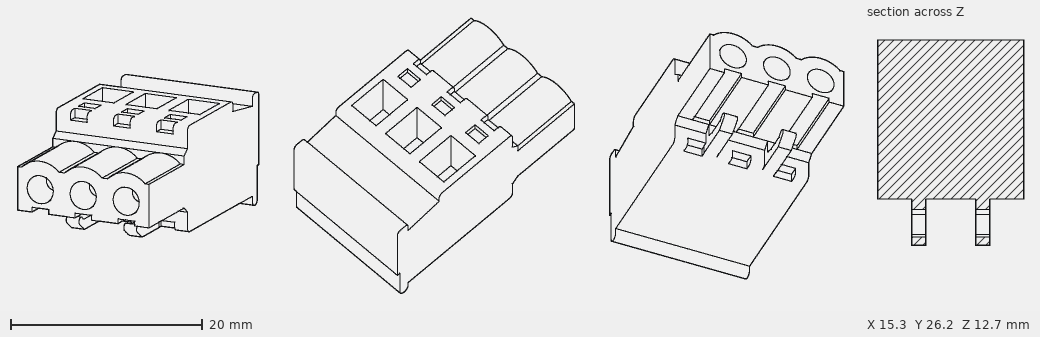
import cadquery as cq
import math

width = 15.3
length = 26.2
height = 12.7

pole_pitch = 5.0
pole_positions = [-pole_pitch, 0, pole_pitch]

body_front = 9.17
body_bottom = 1.13
edge_radius = 0.52
step_y = 20.02

shelf_high_z = 11.55
shelf_low_z = 10.93

plate_front = 24.6
plate_top = 12.18
plate_radius = 0.5
plate_bottom = 4.17
foot_back = 25.83
foot_radius = (foot_back - plate_front) / 2

tongue_root = 8.38
tongue_bottom = 4.03
tongue_valley = 8.78
shoulder_top = 10.3
shoulder_bottom = 3.38

hole_z = 6.6
barrel_radius = 3.1
hole_radius = 1.52
hole_end_radius = 1.0
hole_straight_depth = 1.65
hole_taper_depth = 1.83
tongue_top = hole_z + barrel_radius

recess_width = 1.95
top_notch_length = 1.05
top_notch_depth = 1.02
small_pocket_y = 11.8
small_pocket_length = 1.4
small_pocket_depth = 0.68
tongue_slot_depth = 0.52
bottom_notch_pitch = 5.1
bottom_notch_width = 2.07
bottom_notch_length = 1.05
bottom_notch_height = 0.97

funnel_y = 16.17
funnel_width = 3.62
funnel_length = 4.66
funnel_inset = 0.58
funnel_straight_depth = 1.3
funnel_taper_depth = 3.15

latch_width = 1.5
latch_offset = 3.35
latch_heel_z = 2.57
latch_arm_y = 7.57
latch_arm_top = 2.28
latch_bend_y = 5.63
tip_y = 4.75
tip_z = 2.28
tip_radius = 0.42


def extrude_side_profile(profile, thickness, x_center=0):
    """Extrude a closed Y-Z profile along X, centred on x_center."""
    return profile.extrude(thickness / 2, both=True).translate((x_center, 0, 0))


def block(x_center, x_size, y_range, z_range):
    """Make a box from its X centre and size and its Y and Z limits."""
    y_size = y_range[1] - y_range[0]
    z_size = z_range[1] - z_range[0]
    box = cq.Workplane("XY").box(x_size, y_size, z_size, centered=(True, False, False))
    return box.translate((x_center, y_range[0], z_range[0]))


def make_body():
    """Main housing with shoulders, shelf, back plate and rounded foot."""
    profile = (
        cq.Workplane("YZ")
        .moveTo(body_front, body_bottom)
        .lineTo(body_front, shoulder_bottom)
        .lineTo(tongue_root, tongue_bottom)
        .lineTo(tongue_root, tongue_top)
        .lineTo(body_front, shoulder_top)
        .lineTo(body_front, height)
        .lineTo(step_y, height)
        .lineTo(step_y, shelf_high_z)
        .lineTo(plate_front, shelf_low_z)
        .lineTo(plate_front, plate_top)
        .lineTo(length, plate_top)
        .lineTo(length, plate_bottom)
        .lineTo(foot_back, plate_bottom)
        .lineTo(foot_back, foot_radius)
        .threePointArc((foot_back - foot_radius, 0), (plate_front, foot_radius))
        .lineTo(plate_front, body_bottom)
        .close()
    )
    body = extrude_side_profile(profile, width)

    rounded_edges = [
        (body_front, body_bottom, edge_radius),
        (body_front, height, edge_radius),
        (step_y, height, edge_radius),
        (plate_front, plate_top, plate_radius),
        (length, plate_top, plate_radius),
    ]
    for y, z, radius in rounded_edges:
        body = body.edges(cq.NearestToPointSelector((0, y, z))).fillet(radius)
    return body


def make_tongue():
    """Plug tongue whose top is a row of barrels separated by flat valleys."""
    tongue = block(0, width, (0, body_front), (tongue_bottom, tongue_valley))
    for x in pole_positions:
        barrel = cq.Workplane("XZ").center(x, hole_z).circle(barrel_radius).extrude(-tongue_root)
        crown = block(x, pole_pitch, (0, tongue_root), (hole_z, tongue_top))
        tongue = tongue.union(barrel.intersect(crown))
    return tongue


def make_latch(x):
    """Hooked latch arm with an upturned, fully rounded tip."""
    under_angle = math.atan2(tip_z - body_bottom, latch_bend_y - tip_y)
    reach = math.hypot(latch_bend_y - tip_y, tip_z - body_bottom)
    hook_angle = under_angle - math.asin(tip_radius / reach)
    side_y = tip_radius * math.sin(hook_angle)
    side_z = tip_radius * math.cos(hook_angle)
    upper_y = tip_y + side_y
    upper_z = tip_z + side_z
    elbow_y = upper_y + (upper_z - latch_arm_top) / math.tan(hook_angle)
    profile = (
        cq.Workplane("YZ")
        .moveTo(body_front + edge_radius, body_bottom)
        .lineTo(latch_bend_y, body_bottom)
        .lineTo(tip_y - side_y, tip_z - side_z)
        .threePointArc((tip_y - side_z, tip_z + side_y), (upper_y, upper_z))
        .lineTo(elbow_y, latch_arm_top)
        .lineTo(latch_arm_y, latch_arm_top)
        .lineTo(tongue_root, latch_heel_z)
        .lineTo(tongue_root, tongue_bottom)
        .lineTo(body_front + edge_radius, tongue_bottom)
        .close()
    )
    return extrude_side_profile(profile, latch_width, x)


def make_contact_hole(x):
    """Blind round hole, straight at the mouth and narrowing towards its end."""
    straight = cq.Workplane("XZ").center(x, hole_z).circle(hole_radius).extrude(-hole_straight_depth)
    tapered = (
        cq.Workplane("XZ", origin=(x, hole_straight_depth, hole_z))
        .circle(hole_radius)
        .workplane(offset=-hole_taper_depth)
        .circle(hole_end_radius)
        .loft(ruled=True)
    )
    return straight.union(tapered)


def make_funnel(x):
    """Rectangular wire entry with straight walls leading into tapered walls."""
    taper_top = height - funnel_straight_depth
    y_range = (funnel_y - funnel_length / 2, funnel_y + funnel_length / 2)
    straight = block(x, funnel_width, y_range, (taper_top, height))
    tapered = (
        cq.Workplane("XY", origin=(x, funnel_y, taper_top))
        .rect(funnel_width, funnel_length)
        .workplane(offset=-funnel_taper_depth)
        .rect(funnel_width - 2 * funnel_inset, funnel_length - 2 * funnel_inset)
        .loft(ruled=True)
    )
    return straight.union(tapered)


def make_recesses(x):
    """Top notch, small top pocket and underside tongue slot of one pole."""
    notch_range = (body_front, body_front + top_notch_length)
    pocket_front = small_pocket_y - small_pocket_length / 2
    pocket_range = (pocket_front, pocket_front + small_pocket_length)
    slot_top = tongue_bottom + tongue_slot_depth
    notch = block(x, recess_width, notch_range, (height - top_notch_depth, height))
    pocket = block(x, recess_width, pocket_range, (height - small_pocket_depth, height))
    slot = block(x, recess_width, (0, tongue_root), (tongue_bottom, slot_top))
    return notch.union(pocket).union(slot)


def make_bottom_notch(x):
    """Notch in the lower front edge of the body."""
    y_range = (body_front, body_front + bottom_notch_length)
    z_range = (body_bottom, body_bottom + bottom_notch_height)
    return block(x, bottom_notch_width, y_range, z_range)


result = make_body().union(make_tongue())
for x in pole_positions:
    result = result.cut(make_contact_hole(x)).cut(make_funnel(x)).cut(make_recesses(x))
for x in (-bottom_notch_pitch, 0, bottom_notch_pitch):
    result = result.cut(make_bottom_notch(x))
for x in (-latch_offset, latch_offset):
    result = result.union(make_latch(x))